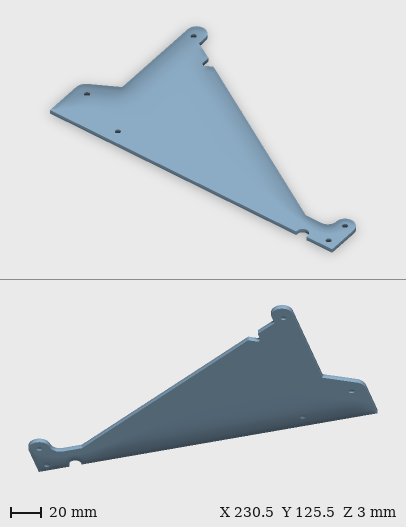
import cadquery as cq
import math

length = 230.5
height = 125.5
thickness = 3.0
lug_radius = 7.1
hole_diameter = 4.0
edge_angle = math.radians(30)

upper_lug_x = 31.4
upper_lug_left = upper_lug_x - lug_radius
upper_lug_right = upper_lug_x + lug_radius
upper_lug_base = 111.3
shoulder_top = 46.5
shoulder_radius = 8.0
shoulder_corner = 33.2

edge_notch_x = 52.0
edge_notch_top = upper_lug_base - (edge_notch_x - upper_lug_right) * math.tan(edge_angle)
edge_notch_bottom = 94.0
edge_notch_end_x = 60.0
edge_notch_end_y = edge_notch_bottom + (edge_notch_end_x - edge_notch_x) * math.tan(edge_angle)
edge_notch_radius = 2.0

neck_start_x = 196.5
neck_height = 16.8
right_lug_x = length - lug_radius
right_lug_left = right_lug_x - lug_radius
right_lug_top = 31.0
right_lug_center_y = right_lug_top - lug_radius
neck_radius = right_lug_center_y - neck_height

slot_x = 205.5
slot_depth = 5.5
slot_radius = 4.1
slot_center_y = slot_depth - slot_radius

hole_centers = [
    (10.0, 27.2),
    (48.2, 9.7),
    (upper_lug_x, 115.0),
    (right_lug_x, right_lug_center_y),
    (right_lug_x, 5.8),
]


def make_plate():
    upper_lug_center_y = height - lug_radius
    return (
        cq.Workplane("XY")
        .moveTo(0, 0)
        .lineTo(slot_x - slot_radius, 0)
        .lineTo(slot_x - slot_radius, slot_center_y)
        .threePointArc((slot_x, slot_depth), (slot_x + slot_radius, slot_center_y))
        .lineTo(slot_x + slot_radius, 0)
        .lineTo(length, 0)
        .lineTo(length, right_lug_center_y)
        .threePointArc((right_lug_x, right_lug_top), (right_lug_left, right_lug_center_y))
        .radiusArc((right_lug_left - neck_radius, neck_height), neck_radius)
        .lineTo(neck_start_x, neck_height)
        .lineTo(edge_notch_end_x, edge_notch_end_y)
        .lineTo(edge_notch_x, edge_notch_bottom)
        .lineTo(edge_notch_x, edge_notch_top)
        .lineTo(upper_lug_right, upper_lug_base)
        .lineTo(upper_lug_right, upper_lug_center_y)
        .threePointArc((upper_lug_x, height), (upper_lug_left, upper_lug_center_y))
        .lineTo(upper_lug_left, shoulder_top)
        .lineTo(0, shoulder_corner)
        .close()
        .extrude(thickness)
    )


def round_corner(body, x, y, radius):
    """Round the upright edge that passes through (x, y)."""
    corner = cq.selectors.NearestToPointSelector((x, y, thickness / 2))
    return body.edges("|Z").edges(corner).fillet(radius)


plate = make_plate()
plate = round_corner(plate, 0, shoulder_corner, shoulder_radius)
plate = round_corner(plate, edge_notch_x, edge_notch_bottom, edge_notch_radius)

holes = (
    cq.Workplane("XY")
    .pushPoints(hole_centers)
    .circle(hole_diameter / 2)
    .extrude(thickness)
)
result = plate.cut(holes)